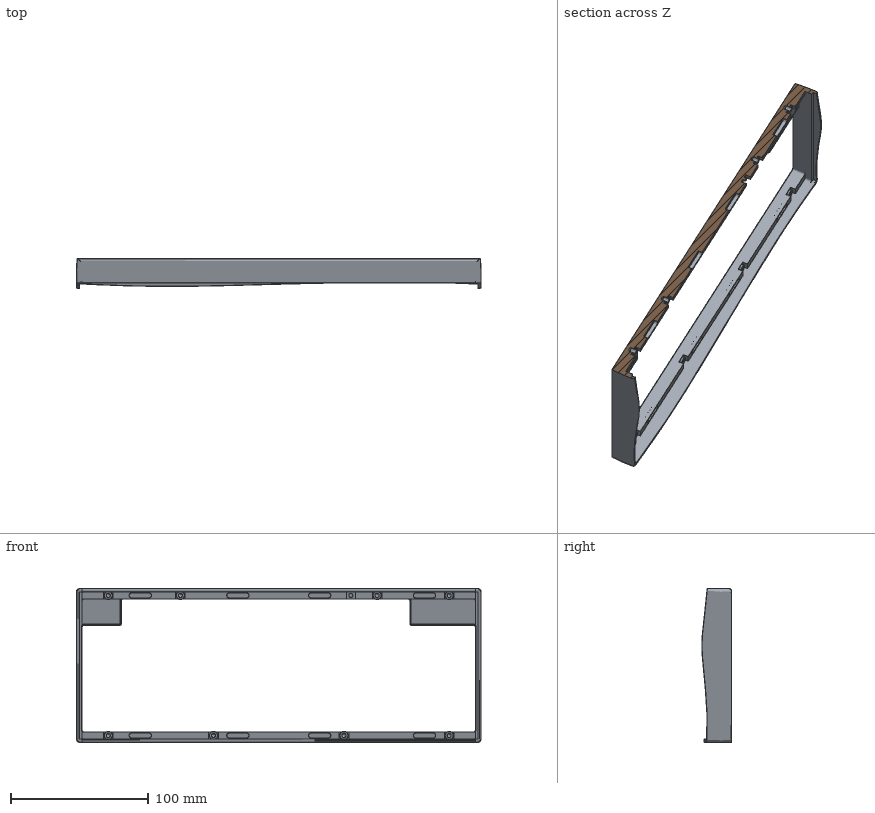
import cadquery as cq
import math

length = 294.7
depth = 21.8
height = 112.3
x_end = length / 2
z_end = height / 2
y_back = depth / 2
y_crown = -depth / 2

inner_x = 143.2
inner_z = 48.3
lip_inner_z = 53.5
ledge_front_y = 1.0
corner_radius = 3.0
zone_margin = 0.3
pocket_radius = 1.5
opening_radius = 1.2
top_back_radius = 2.5
side_back_radius = 1.5
front_radius = 1.2
lip_inner_radius = 0.75

relief_x = 145.0
relief_y = -5.0
relief_slope_depth = 0.5

top_front_y = -7.0
front_wave = [
    (top_front_y, z_end),
    (-9.5, 32.7),
    (y_crown, 13.9),
    (-9.5, -4.5),
    (-7.0, -38.3),
    (-7.7, -z_end),
]

crease_wave = [
    (2.0, z_end),
    (0.0, 33.5),
    (-1.2, 17.7),
    (0.0, -0.5),
    (1.5, -26.5),
    (2.0, -z_end),
]
draft_slope = 0.06
draft_reach = 17.7

bottom_lip_wave = [
    (-inner_x, -7.7),
    (-75.1, -9.5),
    (59.0, -6.5),
    (inner_x, -7.7),
]

top_lip_edge = [(-inner_x, top_front_y), (inner_x, top_front_y)]

pad_front_y = 6.0
pad_bottom_z = 29.2
left_pad_width = 28.5
right_pad_width = 47.7
pad_chamfer = 1.0
pad_spans = (
    (-inner_x, -inner_x + left_pad_width),
    (inner_x - right_pad_width, inner_x),
)

ledge_mid_z = (inner_z + lip_inner_z) / 2
slot_length = 16.2
slot_width = 3.5
slot_depth = 3.0
slot_xs = (-100.8, -29.8, 29.8, 106.0)

boss_diameter = 6.0
hole_diameter = 3.0
hole_depth = 4.5
hole_tip_angle = 118.0
notch_width = 7.0
notch_depth = 3.8
boss_recess = 2.0
top_boss_xs = (-124.0, -71.5, 71.5, 124.0)
bottom_boss_xs = (-124.0, -47.5, 47.5, 124.0)

pin_x = 52.5
pin_diameter = 3.0
pin_notch_width = 6.5


def box(x_range, y_range, z_range):
    """Axis-aligned box between pairs of limits."""
    sizes = [high - low for low, high in (x_range, y_range, z_range)]
    corner = (x_range[0], y_range[0], z_range[0])
    return cq.Workplane("XY").box(*sizes, centered=False).translate(corner)


def area_behind(wave, far_y, x):
    """Closed outline at the given x, between a wave and a straight line behind it."""
    return (
        cq.Workplane("YZ", origin=(x, 0, 0))
        .moveTo(*wave[0])
        .spline(wave[1:], includeCurrent=True)
        .lineTo(far_y, -z_end)
        .lineTo(far_y, z_end)
        .close()
    )


def draft_cutter():
    """Wedge outside the right end, growing from the crease towards the back."""
    outline = area_behind(crease_wave, y_back + draft_reach, x_end)
    slide = cq.Vector(-draft_slope * draft_reach, draft_reach, 0)
    return cq.Workplane(cq.Solid.extrudeLinear(outline.wires().val(), [], slide))


def draft_ends(body):
    """Taper both ends from the crease to the back."""
    right_wedge = draft_cutter()
    return body.cut(right_wedge).cut(right_wedge.mirror("YZ"))


def is_along_y(edge):
    """Whether an edge runs closer to Y than to the other axes."""
    middle = edge.tangentAt(0.5)
    return abs(middle.y) > max(abs(middle.x), abs(middle.z))


def round_corners(body):
    """Round the four corners of the body as seen along Y."""
    for x_side in (1, -1):
        for z_side in (1, -1):
            corner_zone = cq.selectors.BoxSelector(
                (x_side * (x_end - corner_radius), -depth, z_side * z_end - zone_margin),
                (x_side * (x_end + corner_radius), depth, z_side * z_end + zone_margin),
            )
            edges = body.edges(corner_zone).vals()
            along_y = [edge for edge in edges if is_along_y(edge)]
            body = body.newObject(along_y).fillet(corner_radius)
    return body


def back_envelope():
    """Block with a round top back edge and round side back edges."""
    return (
        box((-x_end, x_end), (y_crown, y_back), (-z_end, z_end))
        .edges("|X and >Y and >Z")
        .fillet(top_back_radius)
        .edges("|Z and >Y")
        .fillet(side_back_radius)
    )


def rounded_block(half_x, half_z, radius, y_range):
    """Block along Y with rounded corners."""
    block = box((-half_x, half_x), y_range, (-half_z, half_z))
    return block.edges("|Y").fillet(radius)


def through_opening():
    """Opening through the back, stepped around both corner pads."""
    opening = box((-inner_x, inner_x), (-depth, depth), (-inner_z, inner_z))
    for x_range in pad_spans:
        opening = opening.cut(box(x_range, (-depth, depth), (pad_bottom_z, inner_z)))
    return opening.edges("|Y").fillet(opening_radius)


def pad_bottom_edges():
    """Selector for the bottom front edges of the pads."""
    return cq.selectors.BoxSelector(
        (-inner_x, pad_front_y - zone_margin, pad_bottom_z - zone_margin),
        (inner_x, pad_front_y + zone_margin, pad_bottom_z + zone_margin),
    )


def relief_cutter():
    """Shallow relief that thins the front of both end walls."""
    slope_start_y = relief_y + relief_slope_depth
    return (
        cq.Workplane("XY", origin=(0, 0, -lip_inner_z))
        .moveTo(-inner_x, slope_start_y)
        .lineTo(inner_x, slope_start_y)
        .lineTo(relief_x, relief_y)
        .lineTo(relief_x, -depth)
        .lineTo(-relief_x, -depth)
        .lineTo(-relief_x, relief_y)
        .close()
        .extrude(2 * lip_inner_z)
    )


def lip(front_edge):
    """Thin lip along the bottom, with the given rounded front edge."""
    return (
        cq.Workplane("XY", origin=(0, 0, -z_end))
        .moveTo(*front_edge[0])
        .spline(front_edge[1:], includeCurrent=True)
        .lineTo(inner_x, ledge_front_y)
        .lineTo(-inner_x, ledge_front_y)
        .close()
        .extrude(z_end - lip_inner_z)
        .edges("<Y and <Z")
        .fillet(front_radius)
        .edges("<Y and >Z")
        .fillet(lip_inner_radius)
    )


def slot(x, z):
    """Round-ended slot sunk into the ledge."""
    outline = cq.Workplane("XZ", origin=(x, ledge_front_y, z)).slot2D(slot_length, slot_width)
    return outline.extrude(-slot_depth)


def notch(x, side, width):
    """Notch across the ledge; side is 1 on the top bar, -1 on the bottom bar."""
    x_range = (x - width / 2, x + width / 2)
    y_range = (ledge_front_y, ledge_front_y + notch_depth)
    z_range = sorted((side * inner_z, side * lip_inner_z))
    return box(x_range, y_range, z_range)


def post(x, side, diameter):
    """Round post standing on the floor of a notch."""
    outline = cq.Workplane("XZ", origin=(x, ledge_front_y + notch_depth, side * ledge_mid_z))
    return outline.circle(diameter / 2).extrude(notch_depth - boss_recess)


def screw_hole(x, side):
    """Blind hole in a boss, with a conical end."""
    radius = hole_diameter / 2
    tip = radius / math.tan(math.radians(hole_tip_angle / 2))
    return (
        cq.Workplane("XY")
        .polyline([(0, 0), (radius, 0), (radius, hole_depth), (0, hole_depth + tip)])
        .close()
        .revolve(360, (0, 0, 0), (0, 1, 0))
        .translate((x, ledge_front_y + boss_recess, side * ledge_mid_z))
    )


frame = round_corners(draft_ends(area_behind(front_wave, y_back, -x_end).extrude(length)))
frame = frame.faces("<Y").edges().fillet(front_radius)
frame = frame.intersect(back_envelope())

frame = frame.cut(through_opening())
frame = frame.cut(rounded_block(inner_x, inner_z, opening_radius, (-depth, pad_front_y)))
frame = frame.cut(rounded_block(inner_x, lip_inner_z, pocket_radius, (-depth, ledge_front_y)))
frame = frame.edges(pad_bottom_edges()).chamfer(pad_chamfer)
frame = frame.cut(relief_cutter())

frame = frame.cut(box((-inner_x, inner_x), (-depth, ledge_front_y), (-z_end, -lip_inner_z)))
frame = frame.cut(box((-inner_x, inner_x), (-depth, ledge_front_y), (lip_inner_z, z_end)))
frame = frame.union(lip(bottom_lip_wave)).union(lip(top_lip_edge).mirror("XY"))

for side in (1, -1):
    for x in slot_xs:
        frame = frame.cut(slot(x, side * ledge_mid_z))

boss_places = [(x, 1) for x in top_boss_xs] + [(x, -1) for x in bottom_boss_xs]
for x, side in boss_places:
    frame = frame.cut(notch(x, side, notch_width))
    frame = frame.union(post(x, side, boss_diameter))
    frame = frame.cut(screw_hole(x, side))

frame = frame.cut(notch(pin_x, 1, pin_notch_width)).union(post(pin_x, 1, pin_diameter))

result = frame